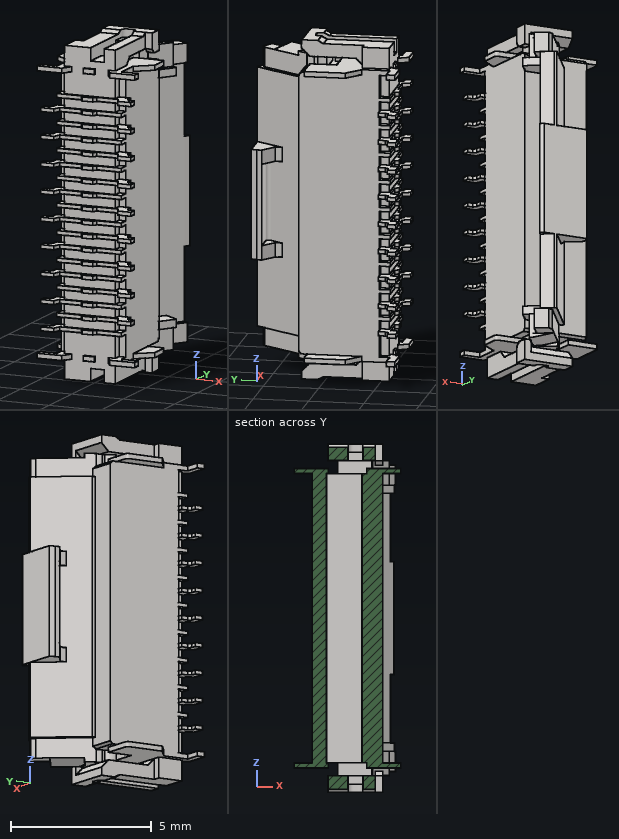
import cadquery as cq
import math


total_length = 12.4
half_length = total_length / 2
body_width = 2.52
body_half_width = body_width / 2
base_half_width = 0.99
base_y = 0.37
side_wall_y = 0.68
body_top_y = 3.6
side_wall_half_length = 5.15
wall_corner_chamfer = 0.1
core_half_length = 5.33
core_top_y = 2.33
slit_height = 0.1
slit_left_x = -0.75
slit_right_x = 0.51

arm_outer_z = 6.09
arm_inner_z = 5.6
arm_root_y = 1.35
arm_left_x = -0.7
root_chamfer = 0.27
tip_chamfer = 0.3
lip_y = 3.0
lip_ramp_length = 0.2
lip_underside_chamfer = 0.16
lip_bottom_z = arm_inner_z - lip_underside_chamfer
groove_left_x = 0.02
groove_width = 0.52
groove_top_y = 3.25
groove_corner_radius = 0.19
groove_shelf_y = 2.59
groove_shelf_z = 5.9

fitting_half_width = 1.9
fitting_foot_height = 0.31
fitting_foot_inner_x = 0.94
fitting_foot_root_x = 0.71
wing_low_y = 1.31
wing_full_y = 1.8
left_wing_top_y = 3.3
right_wing_top_y = 2.63
wing_inner_x = 0.68
wing_corner_radius = 0.1
fitting_bump_y = 0.27
fitting_bump_half_width = 0.21

contact_count = 18
contact_row_span = 8.5
contact_pitch = contact_row_span / (contact_count - 1)
contact_thickness = 0.15
foot_span = 3.51
foot_tip_x = foot_span / 2
foot_height = 0.31
foot_inner_x = 1.24
foot_root_x = 1.14
shoulder_x = 1.45
shoulder_base_x = 1.54
shoulder_low_y = 0.43
beam_y = 0.29
bump_y = 0.15
bump_top_half_width = 0.31
bump_bottom_half_width = 0.21

plate_half_length = 4.74
rib_inner_z = 4.44
end_outer_z = 5.45
handle_half_length = 2.01
window_half_length = 1.49
actuator_top_y = 5.5
plate_low_y = 3.41
end_low_y = 3.5
tilt = 0.72
tilt_angle = math.atan(tilt)
plate_left_x = -0.27
plate_left_y = 3.72
plate_top_right_x = 1.12
plate_corner = (1.54, 5.22)
nose_top_x = 1.54
nose_tip = (1.66, 5.41)
handle_top_x = -0.21
handle_left_x = -0.29
handle_upper_y = 5.3
handle_lower_y = 5.11
handle_knee = (0.27, 4.72)
handle_foot_y = 4.46
window_fillet_start_x = 0.51
window_fillet_end_y = 4.94
step = (0.77, 4.85)
rib_corner = (1.67, 4.19)
end_shoulder_y = 5.25
end_crest = (1.12, 5.27)
end_crown = (1.25, 5.33)
end_tip = (1.71, 5.08)
end_notch = (1.29, 4.51)
end_corner = (1.46, 4.3)
pivot_corner = (1.49, 4.33)
ramp_foot_y = 3.85
ramp_width = 0.8
ramp_length = 1.49

pivot_right_x = 0.87
pivot_bottom_y = 2.74
hub_top = (-0.1, end_low_y)
hub_middle = (-0.16, 3.37)
hub_bottom = (-0.19, 3.22)
toe_top = (-0.15, 3.11)
toe_middle = (-0.29, 3.01)
toe_bottom = (-0.35, 2.84)


def box(x0, x1, y0, y1, z0, z1):
    return cq.Workplane("XY").box(x1 - x0, y1 - y0, z1 - z0, centered=False).translate((x0, y0, z0))


def prism(points, z0, z1):
    """Extrude an XY outline from z0 to z1."""
    return cq.Workplane("XY").workplane(offset=z0).polyline(points).close().extrude(z1 - z0)


def side_prism(points, x0, x1):
    """Extrude a YZ outline from x0 to x1."""
    return cq.Workplane("YZ").workplane(offset=x0).polyline(points).close().extrude(x1 - x0)


def both_ends(solid):
    return solid.union(solid.mirror("XY"))


def along_plate(start, y):
    """Point at height y on the line through start parallel to the actuator plate."""
    return (start[0] + tilt * (y - start[1]), y)


def housing():
    walls = box(-body_half_width, body_half_width, side_wall_y, body_top_y,
                -side_wall_half_length, side_wall_half_length)
    walls = walls.faces(">Y").edges("|X").chamfer(wall_corner_chamfer)
    base = box(-base_half_width, base_half_width, base_y, core_top_y, -core_half_length, core_half_length)
    return walls.union(base)


def end_arm():
    root = box(-base_half_width, base_half_width, base_y, arm_root_y, core_half_length, arm_outer_z)
    arm = side_prism([
        (arm_root_y, arm_outer_z),
        (arm_root_y, arm_inner_z - root_chamfer),
        (arm_root_y + root_chamfer, arm_inner_z),
        (body_top_y - tip_chamfer, arm_inner_z),
        (body_top_y, arm_inner_z + tip_chamfer),
        (body_top_y, half_length),
        (lip_y, half_length),
        (lip_y - lip_ramp_length, arm_outer_z),
    ], arm_left_x, base_half_width)
    lip_side = side_prism([
        (lip_y, half_length),
        (lip_y, arm_inner_z),
        (lip_y + lip_underside_chamfer, lip_bottom_z),
        (body_top_y, lip_bottom_z),
        (body_top_y, half_length),
    ], base_half_width, body_half_width)
    groove_right_x = groove_left_x + groove_width
    groove = box(groove_left_x, groove_right_x, 0, groove_top_y, arm_inner_z, half_length)
    groove = groove.edges("|Z and >Y").fillet(groove_corner_radius)
    open_groove = box(groove_left_x, groove_right_x, arm_root_y, groove_shelf_y, core_half_length, half_length)
    shelf = box(groove_left_x, groove_right_x, groove_shelf_y, groove_top_y, arm_inner_z, groove_shelf_z)
    return root.union(arm).union(lip_side).cut(groove.cut(shelf)).cut(open_groove)


def fitting_side(wing_top_y):
    """Wing, leg and solder foot on the +X side."""
    side = prism([
        (wing_inner_x, base_y),
        (fitting_foot_root_x, base_y),
        (fitting_foot_inner_x, 0),
        (fitting_half_width, 0),
        (fitting_half_width, fitting_foot_height),
        (body_half_width, fitting_foot_height),
        (body_half_width, wing_low_y),
        (fitting_half_width, wing_full_y),
        (fitting_half_width, wing_top_y),
        (wing_inner_x, wing_top_y),
    ], side_wall_half_length, core_half_length)
    return side.edges("|Z").edges(">(1, 1, 0)").fillet(wing_corner_radius)


def fitting():
    bump = box(-fitting_bump_half_width, fitting_bump_half_width, fitting_bump_y, base_y,
               side_wall_half_length, core_half_length)
    left = fitting_side(left_wing_top_y).mirror("YZ")
    return left.union(fitting_side(right_wing_top_y)).union(bump)


def contact():
    """One contact at Z = 0 with its solder foot on the +X side."""
    half_thickness = contact_thickness / 2
    return prism([
        (-body_half_width, side_wall_y),
        (-body_half_width, beam_y),
        (-bump_top_half_width, beam_y),
        (-bump_bottom_half_width, bump_y),
        (bump_bottom_half_width, bump_y),
        (bump_top_half_width, beam_y),
        (foot_root_x, beam_y),
        (foot_inner_x, 0),
        (foot_tip_x, 0),
        (foot_tip_x, foot_height),
        (shoulder_base_x, foot_height),
        (shoulder_x, shoulder_low_y),
        (shoulder_x, side_wall_y),
    ], -half_thickness, half_thickness)


def contact_row():
    """Contacts with feet on alternate sides; the topmost foot is on +X."""
    right_contact = contact()
    left_contact = right_contact.mirror("YZ")
    first_z = contact_row_span / 2
    row = []
    for index in range(contact_count):
        shape = right_contact if index % 2 == 0 else left_contact
        row.append(shape.translate((0, 0, first_z - index * contact_pitch)))
    return row


def plate_edge(y):
    """Point at height y on the plate's left edge."""
    return along_plate((plate_left_x, plate_left_y), y)


def actuator_plate():
    return prism([
        (plate_left_x, plate_low_y),
        (plate_left_x, plate_left_y),
        plate_edge(actuator_top_y),
        (plate_top_right_x, actuator_top_y),
        plate_corner,
        along_plate(plate_corner, plate_low_y),
    ], -plate_half_length, plate_half_length)


def actuator_handle():
    """Pull bar along the plate's upper edge, carried by a leg at each end."""
    handle_foot = plate_edge(handle_foot_y)
    handle = prism([
        (handle_top_x, actuator_top_y),
        (handle_left_x, handle_upper_y),
        (handle_left_x, handle_lower_y),
        handle_knee,
        handle_foot,
        plate_edge(actuator_top_y),
    ], -handle_half_length, handle_half_length)
    window = (
        cq.Workplane("XY")
        .workplane(offset=-window_half_length)
        .moveTo(handle_left_x, handle_lower_y)
        .lineTo(window_fillet_start_x, handle_lower_y)
        .tangentArcPoint(plate_edge(window_fillet_end_y), relative=False)
        .lineTo(*handle_foot)
        .lineTo(handle_left_x, handle_foot_y)
        .close()
        .extrude(2 * window_half_length)
    )
    nose = prism([
        (plate_top_right_x, actuator_top_y),
        (nose_top_x, actuator_top_y),
        nose_tip,
        plate_corner,
    ], -handle_half_length, handle_half_length)
    return handle.cut(window).union(nose)


def pivot_block():
    """Outer block of the actuator end; its upper face rises across the plate."""
    block = prism([
        step,
        pivot_corner,
        along_plate(pivot_corner, end_low_y),
        along_plate(step, end_low_y),
    ], plate_half_length, arm_inner_z)
    across_plate = (math.cos(tilt_angle), -math.sin(tilt_angle), 0)
    down_plate = (-math.sin(tilt_angle), -math.cos(tilt_angle), 0)
    ramp_foot = along_plate(step, ramp_foot_y)
    ramp_plane = cq.Plane(origin=(*ramp_foot, end_outer_z), xDir=across_plate, normal=down_plate)
    ramp_rise = arm_inner_z - end_outer_z
    ramp = cq.Workplane(ramp_plane).polyline([(0, 0), (ramp_width, ramp_rise), (0, ramp_rise)]).close()
    return block.cut(ramp.extrude(-ramp_length))


def pivot():
    """Rounded hub and toe that carry the actuator end."""
    return (
        cq.Workplane("XY")
        .workplane(offset=side_wall_half_length)
        .moveTo(*hub_top)
        .threePointArc(hub_middle, hub_bottom)
        .lineTo(*toe_top)
        .threePointArc(toe_middle, toe_bottom)
        .lineTo(toe_bottom[0], pivot_bottom_y)
        .lineTo(pivot_right_x, pivot_bottom_y)
        .lineTo(pivot_right_x, end_low_y)
        .close()
        .extrude(arm_inner_z - side_wall_half_length)
    )


def actuator_end():
    """Rib, end block, pivot block and pivot at the +Z end of the plate."""
    rib = prism([
        step,
        rib_corner,
        along_plate(rib_corner, end_low_y),
        along_plate(step, end_low_y),
    ], rib_inner_z, plate_half_length)
    end_block = prism([
        along_plate(step, end_shoulder_y),
        end_crest,
        end_crown,
        end_tip,
        end_notch,
        end_corner,
        along_plate(end_corner, end_low_y),
        along_plate(step, end_low_y),
    ], plate_half_length, end_outer_z)
    return rib.union(end_block).union(pivot_block()).union(pivot())


slit = box(slit_left_x, slit_right_x, core_top_y, core_top_y + slit_height,
           -side_wall_half_length, side_wall_half_length)

result = housing().cut(slit)
result = result.union(both_ends(end_arm()))
result = result.union(both_ends(fitting()))
for single_contact in contact_row():
    result = result.union(single_contact)
result = result.union(actuator_plate())
result = result.union(actuator_handle())
result = result.union(both_ends(actuator_end()))